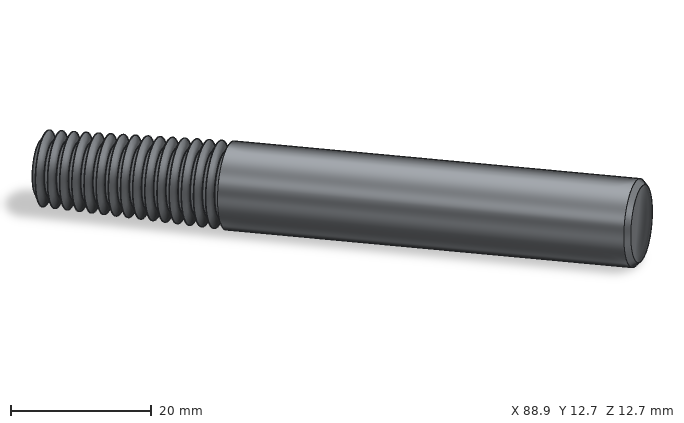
import math

import cadquery as cq

length = 88.9
diameter = 12.7
radius = diameter / 2
start_x = -length / 2
end_x = length / 2

pitch = 1.81
ring_count = 15
flat_width = 0.1
taper = 1 / 16
flank_angle = math.radians(30)
flank_width = pitch / 2 - flat_width
thread_depth = flank_width / math.tan(flank_angle)
thread_length = ring_count * pitch + flat_width / 2 + flank_width
shoulder_x = start_x + thread_length

end_chamfer = 0.8


def crest_point(x):
    """Profile point on the tapered crest line, which reaches full radius at the shoulder."""
    return x, radius - (shoulder_x - x) * taper / 2


def root_point(x):
    """Profile point on the tapered root line, one thread depth below the crest line."""
    crest_radius = crest_point(x)[1]
    return x, crest_radius - thread_depth


def thread_points():
    """Threaded half-profile, from the middle of the first root flat to the last root."""
    points = [root_point(start_x)]
    for ring in range(ring_count):
        root_middle = start_x + ring * pitch
        crest_middle = root_middle + pitch / 2
        next_root_middle = root_middle + pitch
        points.append(root_point(root_middle + flat_width / 2))
        points.append(crest_point(crest_middle - flat_width / 2))
        points.append(crest_point(crest_middle + flat_width / 2))
        points.append(root_point(next_root_middle - flat_width / 2))
    last_root_middle = start_x + ring_count * pitch
    points.append(root_point(last_root_middle + flat_width / 2))
    return points


def shank_points():
    """Half-profile of the plain shank, from the shoulder to the chamfered end."""
    return [
        (shoulder_x, radius),
        (end_x - end_chamfer, radius),
        (end_x, radius - end_chamfer),
    ]


half_profile = [(start_x, 0)] + thread_points() + shank_points() + [(end_x, 0)]

result = cq.Workplane("XZ").polyline(half_profile).close().revolve(360, (0, 0, 0), (1, 0, 0))